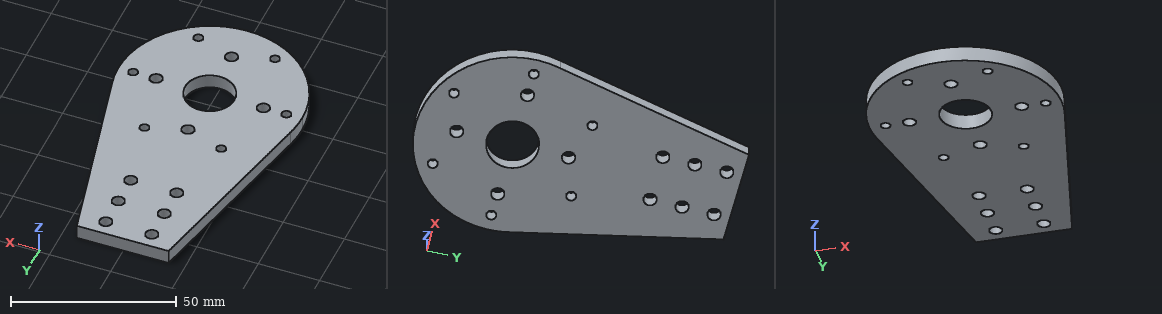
import cadquery as cq
import math

thickness = 5.0
head_radius = 30.0
head_centre_x = -0.07
overall_length = 100.14
end_y = 70.0
end_half_width = 15.0
head_centre_y = end_y + head_radius - overall_length
shoulder_rise = 7.25

bore_diameter = 16.0
inner_hole_count = 4
inner_hole_circle_radius = 17.5
inner_hole_diameter = 4.0
outer_hole_count = 6
outer_hole_circle_radius = 25.0
outer_hole_diameter = 3.0

end_hole_diameter = 4.0
end_hole_columns = 2
end_hole_rows = 3
end_hole_column_spacing = 15.0
end_hole_row_spacing = 10.0
end_hole_middle_row_y = 55.0


def head_point(angle):
    """Point on the head arc at an angle (radians) measured from +X."""
    return (
        head_centre_x + head_radius * math.cos(angle),
        head_centre_y + head_radius * math.sin(angle),
    )


def make_plate():
    """Plate whose head is a lower half circle continued by a short shoulder arc on each side."""
    shoulder_angle = math.asin(shoulder_rise / head_radius)
    return (
        cq.Workplane("XY")
        .moveTo(-end_half_width, end_y)
        .lineTo(end_half_width, end_y)
        .lineTo(*head_point(shoulder_angle))
        .threePointArc(head_point(shoulder_angle / 2), head_point(0))
        .threePointArc(head_point(-math.pi / 2), head_point(math.pi))
        .threePointArc(head_point(math.pi - shoulder_angle / 2), head_point(math.pi - shoulder_angle))
        .close()
        .extrude(thickness)
    )


def cut_hole_circle(plate, count, circle_radius, diameter):
    return (
        plate.faces(">Z")
        .workplane(origin=(0, 0, thickness))
        .polarArray(circle_radius, 0, 360, count)
        .hole(diameter, clean=False)
    )


def cut_bore(plate):
    return plate.faces(">Z").workplane(origin=(0, 0, thickness)).hole(bore_diameter, clean=False)


def cut_end_holes(plate):
    return (
        plate.faces(">Z")
        .workplane(origin=(0, end_hole_middle_row_y, thickness))
        .rarray(end_hole_column_spacing, end_hole_row_spacing, end_hole_columns, end_hole_rows)
        .hole(end_hole_diameter, clean=False)
    )


result = make_plate()
result = cut_bore(result)
result = cut_hole_circle(result, inner_hole_count, inner_hole_circle_radius, inner_hole_diameter)
result = cut_hole_circle(result, outer_hole_count, outer_hole_circle_radius, outer_hole_diameter)
result = cut_end_holes(result)